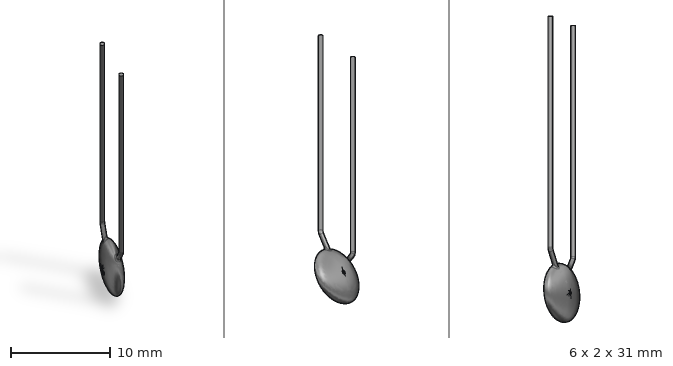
import cadquery as cq
import math

total_height = 31.0
disc_diameter = 6.0
disc_thickness = 2.0

wire_diameter = 0.5
lead_spacing = 5.02
straight_start_height = 4.2
bend_radius = 0.62
entry_fillet = 0.25

disc_radius = disc_diameter / 2
half_thickness = disc_thickness / 2
wire_radius = wire_diameter / 2
lead_top = total_height - disc_radius


def make_disc():
    """Flattened ellipsoid with its axis of revolution along Y, centred on the origin."""
    profile = (
        cq.Workplane("XY")
        .moveTo(0, -half_thickness)
        .ellipseArc(disc_radius, half_thickness, -90, 90, startAtCurrent=True)
        .close()
    )
    return profile.revolve(360, (0, 0, 0), (0, 1, 0))


def make_lead(side):
    """Wire on one side (-1 or +1) in X: vertical, bent inward, then towards the disc centre."""
    lead_x = side * lead_spacing / 2
    lead_y = side * wire_radius

    arc_centre_x = lead_spacing / 2 - bend_radius
    centre_distance = math.hypot(arc_centre_x, straight_start_height)
    bend_angle = math.atan2(arc_centre_x, straight_start_height) + math.asin(bend_radius / centre_distance)

    def bend_point(angle):
        x = side * (arc_centre_x + bend_radius * math.cos(angle))
        return x, straight_start_height - bend_radius * math.sin(angle)

    path = (
        cq.Workplane("XZ", origin=(0, lead_y, 0))
        .moveTo(lead_x, lead_top)
        .lineTo(lead_x, straight_start_height)
        .threePointArc(bend_point(bend_angle / 2), bend_point(bend_angle))
        .lineTo(0, 0)
    )
    section = cq.Workplane("XY", origin=(lead_x, lead_y, lead_top)).circle(wire_radius)
    return section.sweep(path)


result = make_disc()
for lead_side in (-1, 1):
    result = result.union(make_lead(lead_side))

entry_seams = [
    edge
    for edge in result.edges().vals()
    if abs(edge.Center().y) > wire_radius / 2
    and 0 < edge.Center().z < disc_radius
    and edge.geomType() != "LINE"
]
result = result.newObject(entry_seams).fillet(entry_fillet)